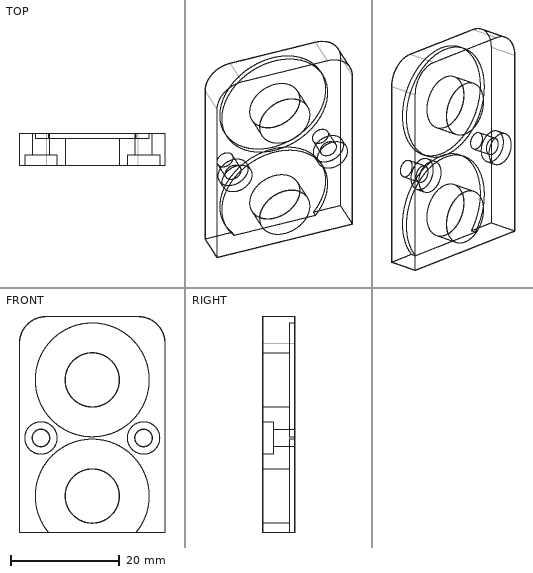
import cadquery as cq

width = 27.0
thickness = 6.0
height = 40.0
corner_radius = 5.0

bore_diameter = 10.0

recess_diameter = 21.1
recess_depth = 1.0
recess_web = 0.4
bore_spacing = recess_diameter + recess_web

screw_line_height = 17.5
screw_spacing = 19.0
screw_hole_diameter = 3.2
counterbore_diameter = 6.0
counterbore_depth = 2.0


def make_plate():
    """Upright plate with its front face on Y = 0 and rounded top corners."""
    plate = cq.Workplane("XY").box(width, thickness, height, centered=(True, False, False))
    return plate.faces(">Z").edges("|Y").fillet(corner_radius)


def front_cylinder(diameter, depth, x, z):
    """Cylinder running from the front face into the plate."""
    front_plane = cq.Workplane("XZ")
    return front_plane.center(x, z).circle(diameter / 2).extrude(-depth)


def back_cylinder(diameter, depth, x, z):
    """Cylinder running from the back face into the plate."""
    back_plane = cq.Workplane("XZ", origin=(0, thickness, 0))
    return back_plane.center(x, z).circle(diameter / 2).extrude(depth)


def cut_bores(body):
    """Cut both bores and their back recesses; the lower recess opens through the bottom."""
    for side in (-1, 1):
        z = screw_line_height + side * bore_spacing / 2
        body = body.cut(front_cylinder(bore_diameter, thickness, 0, z))
        body = body.cut(back_cylinder(recess_diameter, recess_depth, 0, z))
    return body


def cut_screw_holes(body):
    """Cut the two screw holes, counterbored from the front face."""
    for side in (-1, 1):
        x = side * screw_spacing / 2
        body = body.cut(front_cylinder(screw_hole_diameter, thickness, x, screw_line_height))
        body = body.cut(front_cylinder(counterbore_diameter, counterbore_depth, x, screw_line_height))
    return body


result = cut_screw_holes(cut_bores(make_plate()))